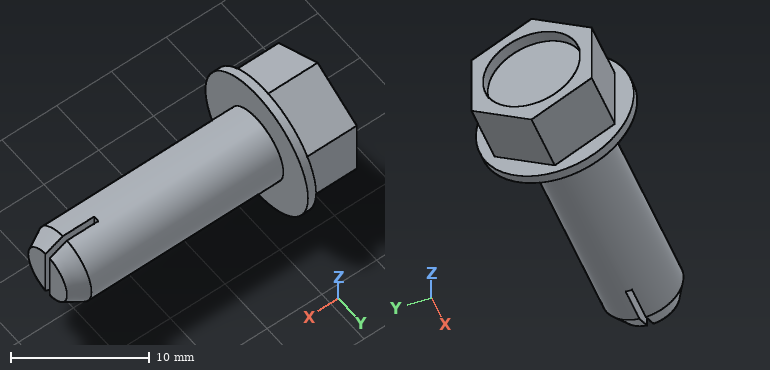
import cadquery as cq
import math

total_length = 24.65
head_length = 4.83
flange_thickness = 0.75
tip_length = 1.58

head_across_flats = 9.3
flange_diameter = 12.2
shank_diameter = 6.33
tip_diameter = 4.6

recess_diameter = 7.5
recess_depth = 0.99
slot_width = 0.5
slot_length = 4.44


def make_head():
    """Hexagonal head with two corners pointing along Z."""
    across_corners = head_across_flats / math.cos(math.pi / 6)
    hexagon = cq.Workplane("YZ").transformed(rotate=(0, 0, 90)).polygon(6, across_corners)
    return hexagon.extrude(head_length)


def make_flange_and_shank():
    """Round flange and shank with a conical tip, turned about X."""
    flange_end = head_length + flange_thickness
    tip_start = total_length - tip_length
    profile = [
        (head_length, 0),
        (head_length, flange_diameter / 2),
        (flange_end, flange_diameter / 2),
        (flange_end, shank_diameter / 2),
        (tip_start, shank_diameter / 2),
        (total_length, tip_diameter / 2),
        (total_length, 0),
    ]
    return cq.Workplane("XY").polyline(profile).close().revolve(360, (0, 0, 0), (1, 0, 0))


def make_recess():
    """Shallow round pocket in the outer face of the head."""
    return cq.Workplane("YZ").circle(recess_diameter / 2).extrude(recess_depth)


def make_slot():
    """Slot across the tip, open along Z."""
    slot_start = cq.Workplane("XY").center(total_length - slot_length, 0)
    return slot_start.box(slot_length, slot_width, shank_diameter, centered=(False, True, True))


result = make_head().union(make_flange_and_shank()).cut(make_recess()).cut(make_slot())